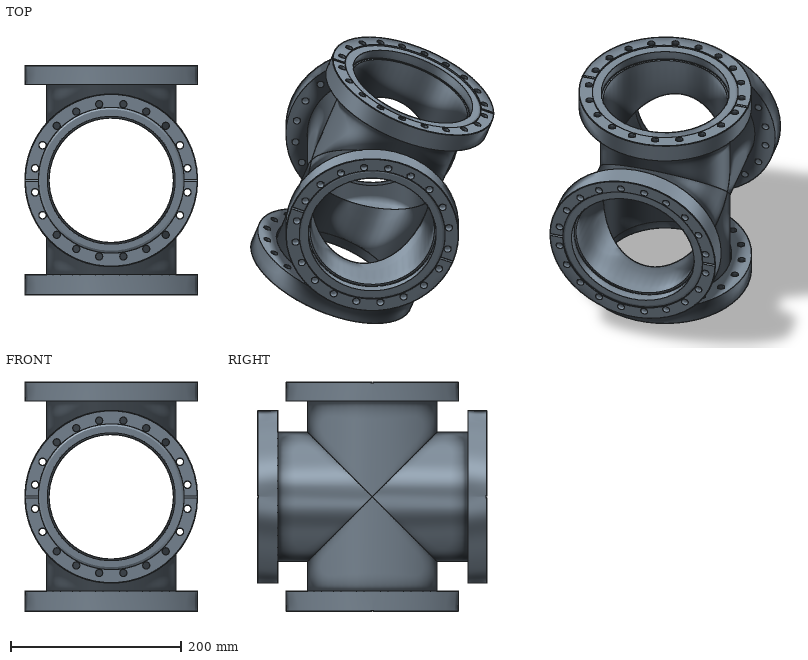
import cadquery as cq
half_span = 135.0

tube_od = 152.5
tube_bore = 146.0
tube_end_depth = 13.0
tube_length = half_span - tube_end_depth

flange_od = 203.0
flange_bore = 150.3
rim_chamfer = 0.5

fixed_thickness = 22.7
fixed_tube_socket = 153.0

ring_thickness = 24.0
ring_bore = 156.0

recess_od = 171.3
recess_depth = 2.0
knife_od = 166.0
knife_depth = 1.0

bolt_count = 20
bolt_hole = 8.4
bolt_circle = 181.0
first_bolt_angle = 180 / bolt_count

leak_groove_width = 2.5

flange_radius = flange_od / 2
bore_radius = flange_bore / 2
recess_radius = recess_od / 2
knife_radius = knife_od / 2
tube_radius = tube_od / 2


def turned(outline):
    """Revolve a closed (radius, height) outline around the Z axis."""
    return cq.Workplane("XZ").polyline(outline).close().revolve(360, (0, 0, 0), (0, 1, 0))


def rim_outline(thickness):
    """Outer part of a flange outline, from the back outer corner to the recess at the face."""
    return [
        (flange_radius, half_span - thickness),
        (flange_radius, half_span - rim_chamfer),
        (flange_radius - rim_chamfer, half_span),
        (recess_radius, half_span),
    ]


def knife_outline():
    """Recess floor corner, sloping up to the knife edge and then flat in to the bore."""
    return [
        (recess_radius, half_span - recess_depth),
        (knife_radius, half_span - knife_depth),
        (bore_radius, half_span - knife_depth),
    ]


def bolt_holes(thickness):
    return (
        cq.Workplane("XY", origin=(0, 0, half_span - thickness))
        .polarArray(bolt_circle / 2, first_bolt_angle, 360, bolt_count)
        .circle(bolt_hole / 2)
        .extrude(thickness)
    )


def leak_grooves():
    """Two round-bottomed slots that run out through the rim on opposite sides."""
    radius = leak_groove_width / 2
    start = (knife_radius + recess_radius) / 2
    slot = (
        cq.Workplane("YZ", origin=(start, 0, half_span))
        .moveTo(-radius, radius)
        .lineTo(-radius, 0)
        .threePointArc((0, -radius), (radius, 0))
        .lineTo(radius, radius)
        .close()
        .extrude(flange_radius)
    )
    return slot.union(slot.mirror("YZ"))


def fixed_flange():
    """One-piece flange with a socket in its back for the tube end."""
    back = half_span - fixed_thickness
    socket_radius = fixed_tube_socket / 2
    outline = [
        (bore_radius, tube_length),
        (socket_radius, tube_length),
        (socket_radius, back),
        *rim_outline(fixed_thickness),
        *knife_outline(),
    ]
    return turned(outline).cut(bolt_holes(fixed_thickness)).cut(leak_grooves())


def flange_ring():
    """Loose bolt ring, counterbored to take the insert."""
    back = half_span - ring_thickness
    outline = [
        (recess_radius, tube_length),
        (ring_bore / 2, tube_length),
        (ring_bore / 2, back),
        *rim_outline(ring_thickness),
    ]
    return turned(outline).cut(bolt_holes(ring_thickness)).cut(leak_grooves())


def flange_insert():
    """Knife-edge insert that sits on the tube end and inside the loose ring."""
    outline = [
        (bore_radius, tube_length),
        (recess_radius, tube_length),
        *knife_outline(),
    ]
    return turned(outline)


def branch_tube():
    """Tube from the crossing to a flange, mitred at 45 degrees on both sides."""
    tube = cq.Workplane("XY").circle(tube_radius).circle(tube_bore / 2).extrude(tube_length)
    mitre_outline = [
        (0, 0),
        (tube_length, tube_length),
        (-tube_length, tube_length),
    ]
    mitre = cq.Workplane("YZ").polyline(mitre_outline).close().extrude(tube_od, both=True)
    return tube.intersect(mitre)


def on_branch(body, angle):
    """Turn a body made on the +Z branch about X to its own branch."""
    return body.rotate((0, 0, 0), (1, 0, 0), angle).solids().val()


plus_z = 0
minus_y = 90
minus_z = 180
plus_y = 270

branches = [on_branch(branch_tube(), angle) for angle in (plus_z, minus_y, minus_z, plus_y)]
fixed_flanges = [on_branch(fixed_flange(), angle) for angle in (plus_z, plus_y)]
rings = [on_branch(flange_ring(), angle) for angle in (minus_z, minus_y)]
inserts = [on_branch(flange_insert(), angle) for angle in (minus_z, minus_y)]

result = cq.Compound.makeCompound([*branches, *fixed_flanges, *rings, *inserts])